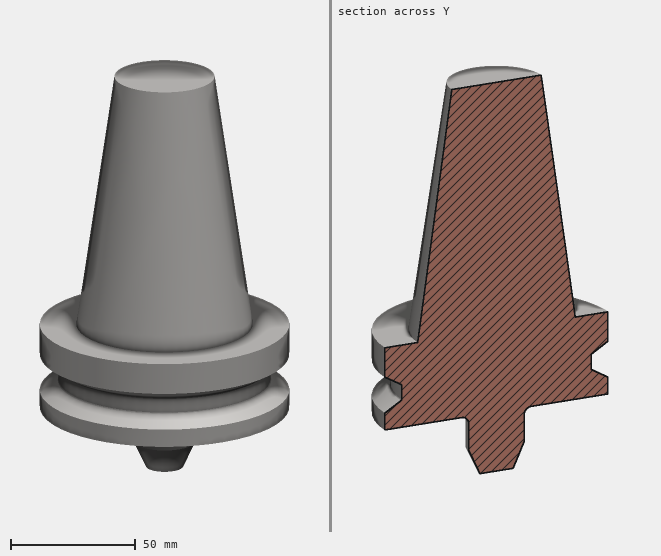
import cadquery as cq
import math

GAUGE_DIAMETER = 69.85
TAPER_RATIO = 7 / 24
TAPER_LENGTH = 101.8
GAUGE_GAP = 3.0

FLANGE_DIAMETER = 100.0
FLANGE_HEIGHT = 35.0
GROOVE_DIAMETER = 85.0
UPPER_RIM_HEIGHT = 12.6
LOWER_RIM_HEIGHT = 7.3
GROOVE_WALL_ANGLE = 30.0
GROOVE_FILLET = 0.6

PIN_DIAMETER = 25.0
PIN_LENGTH = 25.0
PIN_TIP_DIAMETER = 15.0
PIN_TIP_ANGLE = 25.0
PIN_FILLET = 3.0

shank_top_z = TAPER_LENGTH
flange_top_z = -GAUGE_GAP
flange_bottom_z = flange_top_z - FLANGE_HEIGHT
pin_tip_z = flange_bottom_z - PIN_LENGTH
pin_tip_length = (PIN_DIAMETER - PIN_TIP_DIAMETER) / 2 / math.tan(math.radians(PIN_TIP_ANGLE))
pin_shoulder_z = pin_tip_z + pin_tip_length

flange_radius = FLANGE_DIAMETER / 2
groove_radius = GROOVE_DIAMETER / 2
pin_radius = PIN_DIAMETER / 2


def shank_radius(z):
    """Radius of the taper at height z."""
    return (GAUGE_DIAMETER - TAPER_RATIO * z) / 2


def revolve_profile(profile):
    """Turn a closed radius-height profile about the Z axis."""
    return profile.close().revolve(360, (0, 0, 0), (0, 1, 0))


def make_shank():
    """Tapered shank standing on the flange."""
    return revolve_profile(
        cq.Workplane("XZ")
        .moveTo(0, flange_top_z)
        .lineTo(shank_radius(flange_top_z), flange_top_z)
        .lineTo(shank_radius(shank_top_z), shank_top_z)
        .lineTo(0, shank_top_z)
    )


def make_flange():
    """Flange disc with a trapezoidal groove around its rim."""
    wall_height = (flange_radius - groove_radius) * math.tan(math.radians(GROOVE_WALL_ANGLE))
    upper_rim_z = flange_top_z - UPPER_RIM_HEIGHT
    lower_rim_z = flange_bottom_z + LOWER_RIM_HEIGHT
    flange = revolve_profile(
        cq.Workplane("XZ")
        .moveTo(0, flange_bottom_z)
        .lineTo(flange_radius, flange_bottom_z)
        .lineTo(flange_radius, lower_rim_z)
        .lineTo(groove_radius, lower_rim_z + wall_height)
        .lineTo(groove_radius, upper_rim_z - wall_height)
        .lineTo(flange_radius, upper_rim_z)
        .lineTo(flange_radius, flange_top_z)
        .lineTo(0, flange_top_z)
    )
    groove_floor_edges = flange.edges(cq.selectors.RadiusNthSelector(0))
    return groove_floor_edges.fillet(GROOVE_FILLET)


def make_pin():
    """Pin with a tapered tip and a concave fillet where it meets the flange."""
    return revolve_profile(
        cq.Workplane("XZ")
        .moveTo(0, pin_tip_z)
        .lineTo(PIN_TIP_DIAMETER / 2, pin_tip_z)
        .lineTo(pin_radius, pin_shoulder_z)
        .lineTo(pin_radius, flange_bottom_z - PIN_FILLET)
        .radiusArc((pin_radius + PIN_FILLET, flange_bottom_z), PIN_FILLET)
        .lineTo(0, flange_bottom_z)
    )


result = make_shank().union(make_flange()).union(make_pin())